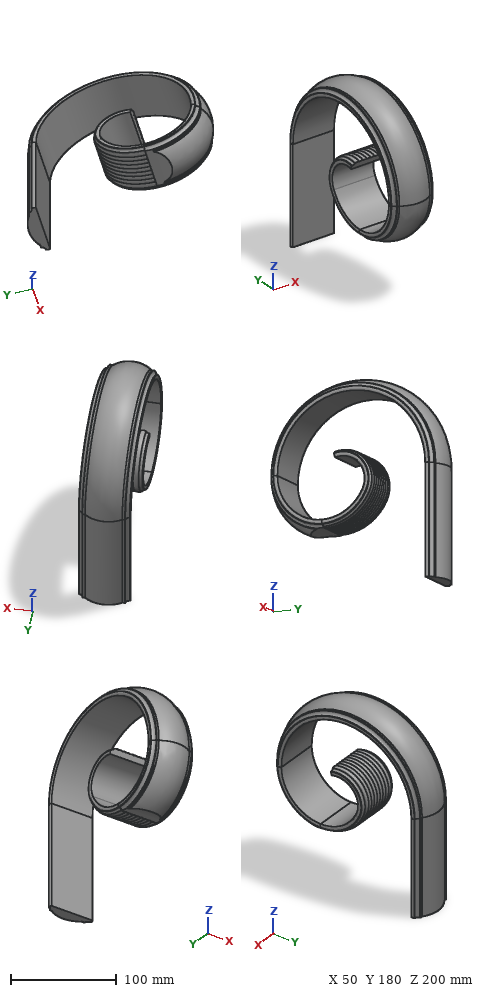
import cadquery as cq
import math


rail_width = 50.0
rail_depth = 14.0
top_radius = 90.0
leg_length = 110.0

lip_height = 4.0
lip_inset = 0.8
lip_top_inset = 0.5
lip_widest_height = 2.5
bevel = 0.5
cove_radius = 3.5

quirk_width = 2.5
quirk_depth = 0.2

scroll_depth = 7.0
reed_count = 9
reed_height = 0.5

tight_center_shift = 30.0
eye_shift_y = 20.0
eye_shift_z = 10.0
scroll_end_angle = 106.0
relief_radius = 60.0

lip_foot_x = rail_width / 2 - lip_inset
cove_foot_height = lip_height + bevel
cove_top_height = cove_foot_height + cove_radius
crown_edge_x = lip_foot_x - cove_radius - bevel
quirk_middle_x = crown_edge_x - quirk_width / 2
dome_edge_x = crown_edge_x - quirk_width
crown_height = cove_top_height + bevel
reed_valley_height = scroll_depth - reed_height

top_inner_radius = top_radius - rail_depth
tight_inner_radius = top_inner_radius - tight_center_shift
eye_inner_radius = tight_inner_radius - math.hypot(eye_shift_y, eye_shift_z)
eye_start_angle = -math.degrees(math.atan2(eye_shift_z, eye_shift_y))
top_center = (0.0, 0.0)
tight_center = (-tight_center_shift, 0.0)
eye_center = (tight_center[0] + eye_shift_y, tight_center[1] - eye_shift_z)


def lip():
    """Steps up the +X lip, each (arc middle or None, end), from its foot to the foot of the cove."""
    return [
        ((rail_width / 2, lip_widest_height), (rail_width / 2 - lip_top_inset, lip_height)),
        (None, (lip_foot_x, cove_foot_height)),
    ]


def cove_point(height):
    """Point on the +X cove at a height above the inner face."""
    drop = cove_top_height - height
    return (lip_foot_x - math.sqrt(cove_radius**2 - drop**2), height)


def cove(end_height):
    """Hollow round that rises from the cove foot, cut short where the end height asks for it."""
    middle_height = (cove_foot_height + end_height) / 2
    return [(cove_point(middle_height), cove_point(end_height))]


def rail_edge():
    """Edge moulding of the rail, up to the edge of its dome."""
    crown_steps = [
        (None, (crown_edge_x, crown_height)),
        (None, (quirk_middle_x, crown_height - quirk_depth)),
        (None, (dome_edge_x, crown_height)),
    ]
    return lip() + cove(cove_top_height) + crown_steps


def scroll_edge():
    """Edge moulding of the scroll: the cove is cut short and bevelled up to the reeds."""
    bevel_step = [(None, (crown_edge_x, reed_valley_height))]
    return lip() + cove(reed_valley_height - bevel) + bevel_step


def dome():
    """Single arc over the rail, from the +X quirk to the -X quirk."""
    return [((0, rail_depth), (-dome_edge_x, crown_height))]


def reeds():
    """Row of round reeds from +X to -X."""
    pitch = 2 * crown_edge_x / reed_count
    steps = []
    for i in range(reed_count):
        start_x = crown_edge_x - i * pitch
        crest = (start_x - pitch / 2, scroll_depth)
        steps.append((crest, (start_x - pitch, reed_valley_height)))
    return steps


def mirrored_edge(edge):
    """Steps down the -X edge that mirror the steps up the +X edge."""
    starts = [(lip_foot_x, 0)] + [end for _, end in edge[:-1]]
    steps = []
    for (middle, _), start in zip(reversed(edge), reversed(starts)):
        mirrored_middle = (-middle[0], middle[1]) if middle else None
        steps.append((mirrored_middle, (-start[0], start[1])))
    return steps


def section(edge, crown, center, angle, inner_radius):
    """Closed section across the rail, facing outward at the angle from +Y about the centre."""
    outward_y = math.cos(math.radians(angle))
    outward_z = math.sin(math.radians(angle))
    plane = cq.Plane(origin=(0, *center), xDir=(1, 0, 0), normal=(0, -outward_z, outward_y))
    sketch = cq.Workplane(plane).moveTo(-lip_foot_x, inner_radius)
    sketch = sketch.lineTo(lip_foot_x, inner_radius)
    for middle, (end_x, end_height) in edge + crown + mirrored_edge(edge):
        end = (end_x, inner_radius + end_height)
        if middle:
            sketch = sketch.threePointArc((middle[0], inner_radius + middle[1]), end)
        else:
            sketch = sketch.lineTo(*end)
    return sketch.close()


def rail_section(center, angle, inner_radius):
    return section(rail_edge(), dome(), center, angle, inner_radius)


def scroll_section(center, angle, inner_radius):
    return section(scroll_edge(), reeds(), center, angle, inner_radius)


def turn(profile, sweep_angle):
    """Revolve a section about the X line through its arc centre."""
    return profile.revolve(sweep_angle, (0, 0), (1, 0))


def make_leg():
    return rail_section(top_center, 0, top_inner_radius).extrude(-leg_length)


def make_top_turn():
    return turn(rail_section(top_center, 0, top_inner_radius), 180)


def make_tight_turn():
    """Quarter turn whose crown is relieved by a round cut down to the depth of the scroll."""
    body = turn(rail_section(tight_center, 180, tight_inner_radius), 90)
    relief_z = -(tight_inner_radius + scroll_depth + relief_radius)
    relief = (
        cq.Workplane("YZ")
        .center(tight_center[0], relief_z)
        .circle(relief_radius)
        .extrude(rail_width / 2, both=True)
    )
    return body.cut(relief)


def make_scroll():
    """Reeded scroll: it continues the tight turn, then closes in around the eye."""
    outer_arc = turn(scroll_section(tight_center, -90, tight_inner_radius), 90 + eye_start_angle)
    eye_arc = turn(
        scroll_section(eye_center, eye_start_angle, eye_inner_radius),
        scroll_end_angle - eye_start_angle,
    )
    return outer_arc.union(eye_arc)


leg = make_leg()
top_turn = make_top_turn()
tight_turn = make_tight_turn()
scroll = make_scroll()

result = cq.Compound.makeCompound([leg.val(), top_turn.val(), tight_turn.val(), scroll.val()])